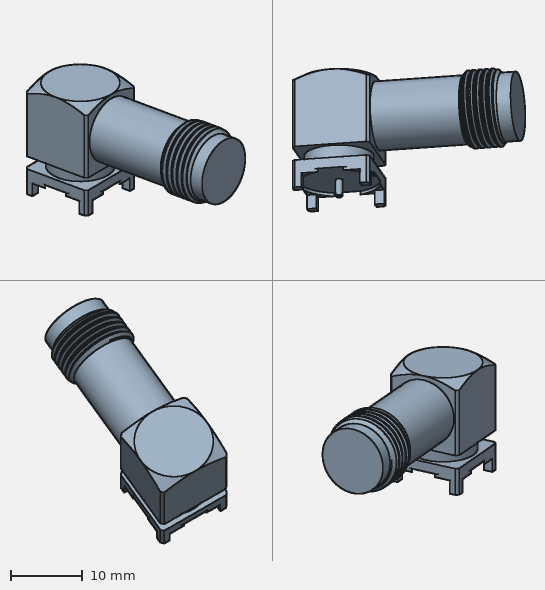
import cadquery as cq
import math


block_side = 11.0
corner_chamfer = 0.4
crown_angle = 30

round_diameter = 9.7
neck_height = 1.98
overall_length = 31

base_height = 4.0
leg_width = 1.33
leg_height = 2.0
recess_diameter = 11.6
recess_depth = 0.5

pin_diameter = 1.0
pin_chamfer = 0.2

thread_diameter = 11.0
thread_root_diameter = 10.05
thread_pitch = 0.9
thread_root_width = 0.12
thread_flank_angle = 30
thread_start_angle = 150
collar_seam_angle = 45
thread_clearance = 0.15
collar_length = 5.35
collar_end_gap = 2.0

half_side = block_side / 2
neck_bottom = -half_side - neck_height
base_bottom = neck_bottom - base_height
leg_top = base_bottom + leg_height
barrel_end = overall_length - half_side
collar_end = barrel_end - collar_end_gap
collar_start = collar_end - collar_length


def chamfered_post(bottom, height):
    """Square post with its four vertical edges chamfered."""
    post = cq.Workplane("XY").workplane(offset=bottom).rect(block_side, block_side).extrude(height)
    return post.edges("|Z").chamfer(corner_chamfer)


def crown_cone():
    """Upright cone, as wide as the block at its top, that trims the block's top corners."""
    cone_bottom_radius = half_side + block_side / math.tan(math.radians(crown_angle))
    return (
        cq.Workplane("XZ")
        .moveTo(0, -half_side)
        .lineTo(cone_bottom_radius, -half_side)
        .lineTo(half_side, half_side)
        .lineTo(0, half_side)
        .close()
        .revolve(360, (0, 0, 0), (0, 1, 0))
    )


def leg_gaps():
    """Slots along X and Y, open at the bottom of the base, that leave the four legs."""
    gap_width = block_side - 2 * leg_width
    plane = cq.Workplane("XY").workplane(offset=base_bottom)
    along_x = plane.rect(block_side, gap_width).extrude(leg_height)
    along_y = plane.rect(gap_width, block_side).extrude(leg_height)
    return along_x.union(along_y)


def base_recess():
    """Shallow round recess in the underside of the base."""
    return cq.Workplane("XY").workplane(offset=leg_top).circle(recess_diameter / 2).extrude(recess_depth)


def mounting_base():
    return chamfered_post(base_bottom, base_height).cut(leg_gaps()).cut(base_recess())


def neck():
    return cq.Workplane("XY").workplane(offset=neck_bottom).circle(round_diameter / 2).extrude(neck_height)


def centre_pin():
    pin_length = neck_bottom - base_bottom
    pin = cq.Workplane("XY").workplane(offset=base_bottom).circle(pin_diameter / 2).extrude(pin_length)
    return pin.faces("<Z").chamfer(pin_chamfer)


def barrel():
    return cq.Workplane("YZ").circle(round_diameter / 2).extrude(barrel_end)


def collar_blank():
    """Thick disc on the barrel axis with 45 degree ends, before threading."""
    outer = thread_diameter / 2
    ramp = (thread_diameter - round_diameter) / 2
    return (
        cq.Workplane("XY")
        .moveTo(collar_start, 0)
        .lineTo(collar_start, round_diameter / 2)
        .lineTo(collar_start + ramp, outer)
        .lineTo(collar_end - ramp, outer)
        .lineTo(collar_end, round_diameter / 2)
        .lineTo(collar_end, 0)
        .close()
        .revolve(360, (0, 0, 0), (1, 0, 0))
        .rotate((0, 0, 0), (1, 0, 0), collar_seam_angle)
    )


def thread_groove():
    """Right-hand helical groove along X that starts at the inner end and runs out past the outer end."""
    root = thread_root_diameter / 2
    clear = thread_diameter / 2 + thread_clearance
    flank = (clear - root) * math.tan(math.radians(thread_flank_angle))
    root_half = thread_root_width / 2
    turns = math.ceil(collar_length / thread_pitch)
    helix = cq.Wire.makeHelix(thread_pitch, turns * thread_pitch, root)
    groove = (
        cq.Workplane("XZ")
        .moveTo(root, -root_half)
        .lineTo(root, root_half)
        .lineTo(clear, root_half + flank)
        .lineTo(clear, -root_half - flank)
        .close()
        .sweep(cq.Workplane(obj=helix), isFrenet=True)
    )
    groove = groove.rotate((0, 0, 0), (0, 1, 0), 90).rotate((0, 0, 0), (1, 0, 0), thread_start_angle)
    return groove.translate((collar_start, 0, 0))


block = chamfered_post(-half_side, block_side).intersect(crown_cone())
threaded_collar = collar_blank().cut(thread_groove())

result = (
    block.union(neck())
    .union(mounting_base())
    .union(centre_pin())
    .union(barrel())
    .union(threaded_collar)
)